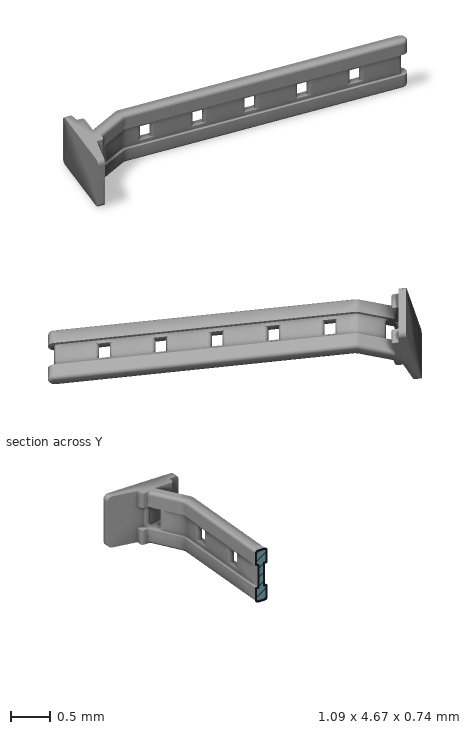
import cadquery as cq
import math

length = 4.67
height = 0.74
plate_width = 1.09

strut_thickness = 0.175
strut_x = -0.3
bend_y = 0.685
bend_angle = math.radians(30)
bend_radius = 0.11
edge_radius = 0.04
strut_root_y = 0.14

web_thickness = 0.095
web_end_y = 4.59
channel_height = 0.32
web_round = 0.04
web_overlap = 0.095

hole_count = 5
hole_pitch = 0.73
first_hole_y = 1.027
hole_length = 0.14
hole_height = 0.22

window_length = 0.165
window_y = 0.275
window_corner_radius = 0.049

plate_edge = 0.095
plate_corner_radius = 0.065
ridge_x = -0.02
ridge_y = 0.19
block_left = strut_x - strut_thickness / 2
block_right = 0.135
block_low_top = 0.22
block_high_top = 0.265
block_step_x = -0.037
block_radius = 0.037


def slope_x(y):
    """X of the strut centre line at a height y on its sloping part."""
    return strut_x + (bend_y - y) * math.tan(bend_angle)


def bent_strip(thickness, end_y, strip_height):
    """Bent strip with a rounded free end, centred on Z = 0."""
    half = thickness / 2
    bend_shift = half * math.tan(bend_angle / 2)
    root_shift = half / math.cos(bend_angle)
    root_x = slope_x(strut_root_y)
    strip = (
        cq.Workplane("XY")
        .moveTo(root_x - root_shift, strut_root_y)
        .lineTo(strut_x - half, bend_y - bend_shift)
        .lineTo(strut_x - half, end_y - half)
        .threePointArc((strut_x, end_y), (strut_x + half, end_y - half))
        .lineTo(strut_x + half, bend_y + bend_shift)
        .lineTo(root_x + root_shift, strut_root_y)
        .close()
        .extrude(strip_height / 2, both=True)
    )
    bend_edges = cq.selectors.BoxSelector(
        (strut_x - thickness, bend_y - thickness, -height),
        (strut_x + thickness, bend_y + thickness, height),
    )
    return strip.edges("|Z").edges(bend_edges).fillet(bend_radius)


def channel_cutter():
    """Block that clears the space between the flanges."""
    return cq.Workplane("XY").box(3 * plate_width, 3 * length, channel_height)


def make_flanges():
    strip = bent_strip(strut_thickness, length, height)
    strip = strip.faces("|Z").edges("not <Y").fillet(edge_radius)
    return strip.cut(channel_cutter())


def hole_cutter(y):
    """Opening whose two end walls are rounded across the web."""
    half = web_thickness / 2
    near = y - hole_length / 2
    far = y + hole_length / 2
    left = strut_x - half
    right = strut_x + half
    return (
        cq.Workplane("XY")
        .moveTo(left, near - half)
        .threePointArc((strut_x, near), (right, near - half))
        .lineTo(right, far + half)
        .threePointArc((strut_x, far), (left, far + half))
        .close()
        .extrude(hole_height / 2, both=True)
    )


def window_cutter():
    """Rounded rectangular window that widens smoothly at both web faces."""
    across = cq.Vector(math.cos(bend_angle), math.sin(bend_angle), 0)
    along = cq.Vector(-math.sin(bend_angle), math.cos(bend_angle), 0)
    centre = cq.Vector(slope_x(window_y), window_y, 0)
    wide_length = window_length + 2 * web_round
    wide_height = channel_height + 2 * web_round
    frame_size = 2 * wide_height
    plane = cq.Plane(centre, along, across)
    frame = cq.Workplane(plane).box(frame_size, frame_size, web_thickness)
    opening = (
        cq.Workplane(plane)
        .box(window_length, channel_height, web_thickness)
        .edges(cq.selectors.ParallelDirSelector(across))
        .fillet(window_corner_radius)
    )
    inside = cq.Workplane(plane).box(wide_length, wide_height, web_thickness)
    frame = frame.cut(opening)
    reach = cq.Vector(wide_height, wide_height, wide_height) / 2
    rims = frame.edges(cq.selectors.BoxSelector(centre - reach, centre + reach))
    return inside.cut(rims.fillet(web_round))


def make_web():
    web = bent_strip(web_thickness, web_end_y, channel_height + web_overlap)
    for index in range(hole_count):
        web = web.cut(hole_cutter(first_hole_y + index * hole_pitch))
    return web.cut(window_cutter())


def make_plate():
    half = plate_width / 2
    outline = [
        (-half, 0),
        (half, 0),
        (half, plate_edge),
        (ridge_x, ridge_y),
        (-half, plate_edge),
    ]
    wedge = cq.Workplane("XY").polyline(outline).close().extrude(height / 2, both=True)
    rounded_bar = (
        cq.Workplane("XY")
        .box(plate_width, 2 * length, height)
        .edges("|Y")
        .fillet(plate_corner_radius)
    )
    return wedge.intersect(rounded_bar)


def block_step(left, right, top, rounded_side):
    """One step of the block, with its outer top edge rounded."""
    return (
        cq.Workplane("XY")
        .moveTo((left + right) / 2, top / 2)
        .rect(right - left, top)
        .extrude(height / 2, both=True)
        .faces(rounded_side)
        .edges(">Y")
        .fillet(block_radius)
    )


def make_block():
    low = block_step(block_left, block_step_x, block_low_top, "<X")
    high = block_step(block_step_x, block_right, block_high_top, ">X")
    return low.union(high).cut(channel_cutter())


result = make_flanges().union(make_web()).union(make_block()).union(make_plate())